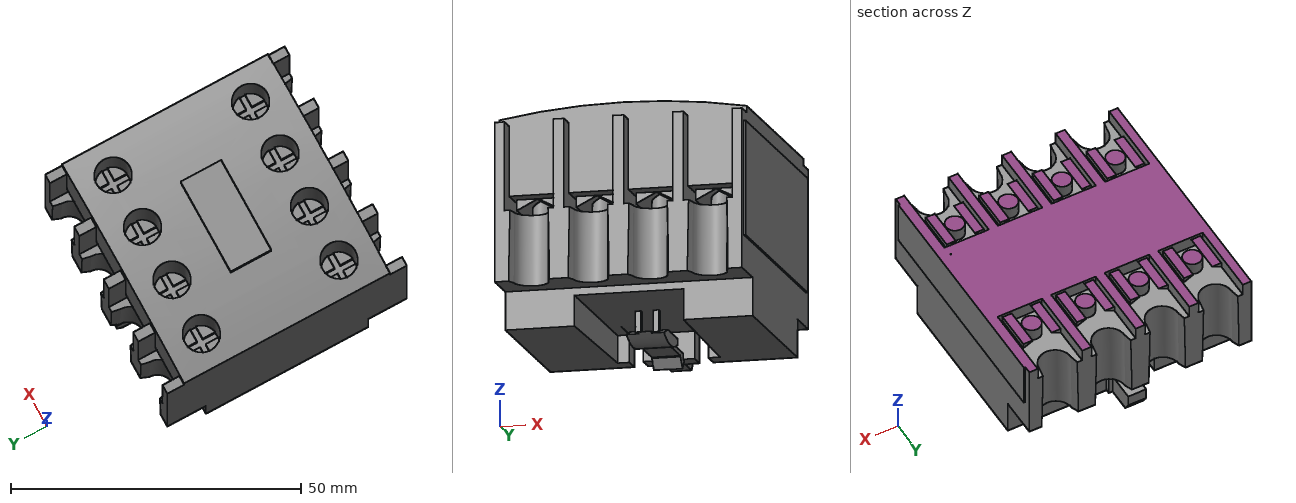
import cadquery as cq

body_width = 43.9
body_depth = 40.4
overall_depth = 47.0
base_depth = 31.85
base_height = 6.75
rib_top = 35.0
roof_edge = 36.2
roof_crown = 38.1

terminal_pitch = 10.58
terminal_count = 4
bay_width = 8.7
shelf_height = 19.3
bay_lintel = 22.6
niche_back = 14.1
screw_offset = 13.5
screw_hole_diameter = 6.5
screw_hole_floor = 26.3
screw_head_diameter = 6.1
screw_head_top = 29.15
cross_slot_width = 1.1
cross_slot_depth = 0.95
screw_shank_diameter = 3.55
clamp_width = 7.43
clamp_drop = 1.9

groove_top_half_mouth = 3.4
groove_bottom_half_mouth = 3.6
groove_radius = 3.05
groove_top_arc_start = 1.75
groove_bottom_arc_start = 1.4

label_width = 18.0
label_depth = 8.0
label_top = 38.75
side_plate_thickness = 0.3
side_plate_depth = 44.05
side_plate_bottom = 12.9
side_plate_top = 33.15

cavity_width = 19.35
cavity_height = 5.45
cavity_length = 28.2
cavity_draft_angle = 1.2
slot_width = 2.45
slot_offset = 5.8
slot_height = 5.0

latch_width = 5.08
latch_front = 0.0
latch_step = 16.85
latch_height = 1.05
hook_width = 3.55
hook_end = 22.35
hook_bottom = 0.2
hook_top = 4.05
hook_chamfer_width = 1.05
hook_chamfer_height = 1.65
tooth_position = 11.75
tooth_depth = 1.8
tooth_half_length = 1.4
rocker_width = 6.67
rocker_center = 0.35
rocker_half_length = 4.85
rocker_bottom = -0.38
rocker_edge = 0.8
rocker_top = 1.95
rocker_slope_length = 2.8
tongue_width = 2.35
tongue_reach = 0.4
post_width = 0.95
post_offset = 1.6
post_depth = 0.95
post_bottom = 1.35

overlap = 0.95


def box(x_range, y_range, z_range):
    """Box between the given limits."""
    sizes = [high - low for low, high in (x_range, y_range, z_range)]
    corner = (x_range[0], y_range[0], z_range[0])
    return cq.Workplane("XY").box(*sizes, centered=False).translate(corner)


def centered_box(width, y_range, z_range):
    """Box symmetric about X = 0."""
    return box((-width / 2, width / 2), y_range, z_range)


def side_profile(points, width):
    """Prism along X, symmetric about X = 0, from a polygon of (Y, Z) points."""
    return cq.Workplane("YZ").polyline(points).close().extrude(width / 2, both=True)


def both_sides(shape):
    """The shape together with its mirror image on the +Y side."""
    return shape.union(shape.mirror("XZ"))


half_width = body_width / 2
half_body = body_depth / 2
half_overall = overall_depth / 2
half_base = base_depth / 2
terminal_xs = [(i - (terminal_count - 1) / 2) * terminal_pitch for i in range(terminal_count)]


def housing():
    """Block with an arched roof, full-depth sides and a narrower base."""
    upper = (
        cq.Workplane("XZ")
        .moveTo(-half_width, base_height)
        .lineTo(half_width, base_height)
        .lineTo(half_width, roof_edge)
        .threePointArc((0, roof_crown), (-half_width, roof_edge))
        .close()
        .extrude(half_body, both=True)
    )
    ribbed = centered_box(body_width, (-half_overall, half_overall), (base_height, rib_top))
    base = centered_box(body_width, (-half_base, half_base), (0, base_height + overlap))
    return upper.union(ribbed).union(base)


def groove_outline(height, half_mouth, arc_start):
    """Outline of the wire groove at one height: a round back with walls spreading to the mouth."""
    arc_center = arc_start - half_overall
    wall_slope = (half_mouth - groove_radius) / arc_start
    outer_half = half_mouth + wall_slope * overlap
    outer_y = -half_overall - overlap
    return (
        cq.Workplane("XY", origin=(0, 0, height))
        .moveTo(-outer_half, outer_y)
        .lineTo(outer_half, outer_y)
        .lineTo(groove_radius, arc_center)
        .threePointArc((0, arc_center + groove_radius), (-groove_radius, arc_center))
        .close()
        .val()
    )


def terminal_cut():
    """Open bay, niche behind it and wire groove of one terminal on the -Y side."""
    bay_range = (-half_overall - overlap, -half_body)
    niche_range = (-half_body - overlap, niche_back - half_overall)
    bay = centered_box(bay_width, bay_range, (shelf_height, rib_top + overlap))
    niche = centered_box(bay_width, niche_range, (shelf_height, bay_lintel))
    outlines = [
        groove_outline(base_height, groove_bottom_half_mouth, groove_bottom_arc_start),
        groove_outline(shelf_height, groove_top_half_mouth, groove_top_arc_start),
    ]
    groove = cq.Workplane(cq.Solid.makeLoft(outlines, True))
    return bay.union(niche).union(groove)


def clamp():
    """Clamp with a V-shaped underside, and the screw shank between it and the shelf."""
    plate = (
        cq.Workplane("XZ", origin=(0, -screw_offset, 0))
        .moveTo(-clamp_width / 2, bay_lintel + overlap)
        .lineTo(-clamp_width / 2, bay_lintel - clamp_drop)
        .lineTo(0, bay_lintel)
        .lineTo(clamp_width / 2, bay_lintel - clamp_drop)
        .lineTo(clamp_width / 2, bay_lintel + overlap)
        .close()
        .extrude(clamp_width / 2, both=True)
    )
    shank = (
        cq.Workplane("XY", origin=(0, -screw_offset, shelf_height - overlap))
        .circle(screw_shank_diameter / 2)
        .extrude(bay_lintel - shelf_height + 2 * overlap)
    )
    return plate.union(shank)


def screw_hole():
    """Round hole in the roof around a cross-slotted screw head."""
    hole = (
        cq.Workplane("XY", origin=(0, -screw_offset, screw_hole_floor))
        .circle(screw_hole_diameter / 2)
        .extrude(roof_crown - screw_hole_floor)
    )
    head = (
        cq.Workplane("XY", origin=(0, -screw_offset, screw_hole_floor))
        .circle(screw_head_diameter / 2)
        .extrude(screw_head_top - screw_hole_floor)
    )
    cross = (
        cq.Workplane("XY", origin=(0, -screw_offset, screw_head_top - cross_slot_depth))
        .rect(screw_head_diameter, cross_slot_width)
        .extrude(cross_slot_depth)
    )
    cross = cross.union(cross.rotate((0, -screw_offset, 0), (0, -screw_offset, 1), 90))
    return hole.cut(head.cut(cross))


def base_cavity():
    """Cavity narrowing by the draft angle towards its back wall, which has two slots."""
    cavity = (
        cq.Workplane("XZ", origin=(0, -half_base, (cavity_height - overlap) / 2))
        .rect(cavity_width, cavity_height + overlap)
        .extrude(-cavity_length, taper=cavity_draft_angle)
    )
    for x in (-slot_offset, slot_offset):
        slot = centered_box(slot_width, (0, half_base + overlap), (-overlap, slot_height))
        cavity = cavity.union(slot.translate((x, 0, 0)))
    return cavity


def rocker():
    """Bar with a rounded underside, a narrow tongue at its front and two posts up to the ceiling."""
    front = rocker_center - rocker_half_length
    back = rocker_center + rocker_half_length
    bar = (
        cq.Workplane("YZ")
        .moveTo(front, rocker_edge)
        .threePointArc((rocker_center, rocker_bottom), (back, rocker_edge))
        .lineTo(back, rocker_top)
        .lineTo(front + rocker_slope_length, rocker_top)
        .close()
        .extrude(rocker_width / 2, both=True)
    )
    tongue = side_profile(
        [
            (front, rocker_edge),
            (front - tongue_reach, latch_height),
            (rocker_center, latch_height),
            (rocker_center, rocker_edge),
        ],
        tongue_width,
    )
    tongue_gap = centered_box(tongue_width, (front, back), (latch_height, rocker_top))
    bar = bar.cut(tongue_gap).union(tongue)
    post_slope = (post_bottom - rocker_edge) / (rocker_top - rocker_edge)
    post_front = front + rocker_slope_length * post_slope
    for x in (-post_offset, post_offset):
        post = centered_box(post_width, (post_front, post_front + post_depth), (post_bottom, cavity_height))
        bar = bar.union(post.translate((x, 0, 0)))
    return bar


def latch():
    """Slide with a pointed tooth underneath and a hook reaching out on the +Y side."""
    slide = centered_box(latch_width, (latch_front, latch_step), (hook_bottom, latch_height))
    root = centered_box(latch_width, (half_base - overlap, latch_step), (hook_bottom, hook_top))
    hook = side_profile(
        [
            (half_base, hook_bottom),
            (hook_end - hook_chamfer_width, hook_bottom),
            (hook_end, hook_bottom + hook_chamfer_height),
            (hook_end, hook_top),
            (half_base, hook_top),
        ],
        hook_width,
    )
    tooth = side_profile(
        [
            (tooth_position - tooth_half_length, 0),
            (tooth_position, -tooth_depth),
            (tooth_position + tooth_half_length, 0),
            (tooth_position + tooth_half_length, latch_height),
            (tooth_position - tooth_half_length, latch_height),
        ],
        latch_width,
    )
    return slide.union(root).union(hook).union(tooth)


def label():
    """Flat name plate rising just above the roof crown."""
    return centered_box(label_width, (-label_depth / 2, label_depth / 2), (roof_edge, label_top))


def side_plate():
    """Thin plate on the +X side."""
    return box(
        (half_width - overlap, half_width + side_plate_thickness),
        (-side_plate_depth / 2, side_plate_depth / 2),
        (side_plate_bottom, side_plate_top),
    )


terminal_cuts = both_sides(terminal_cut())
clamps = both_sides(clamp())
screw_holes = both_sides(screw_hole())

result = housing()
for x in terminal_xs:
    place = (x, 0, 0)
    result = result.cut(terminal_cuts.translate(place))
    result = result.union(clamps.translate(place))
    result = result.cut(screw_holes.translate(place))

result = result.cut(base_cavity())
result = result.union(rocker()).union(latch())
result = result.union(label()).union(side_plate())